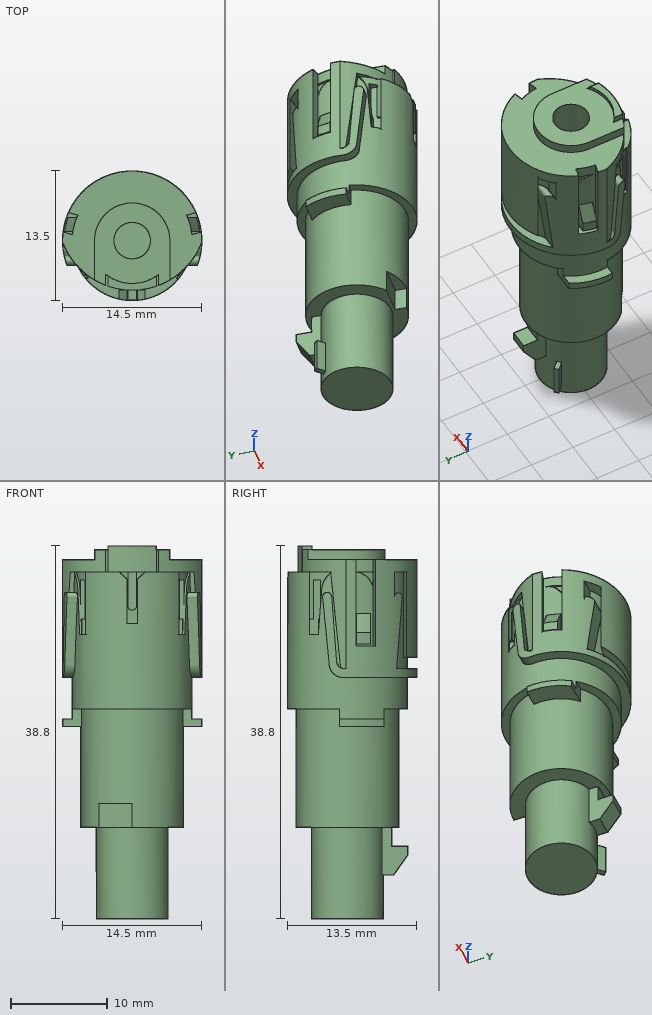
import cadquery as cq
import math

SKIRT_DIA = 14.5
BODY_DIA = 12.5
NECK_DIA = 10.7
PIN_DIA = 7.5
BORE_DIA = 3.8

TOTAL_HEIGHT = 38.8
BOSS_TOP = 38.4
CAP_TOP = 37.35
BODY_TOP = 36.07
PANEL_BOTTOM = 27.2
BAND_TOP = 26.03
BAND_BOTTOM = 25.1
BODY_BOTTOM = 21.85
NECK_BOTTOM = 9.5

CAP_FRONT = -5.15
CAP_FRONT_RADIUS = 7.75

BOSS_RADIUS = 3.9
BORE_DEPTH = 11.65
TAB_WIDTH = 5.05
TAB_GAP = 0.25
TAB_INNER_RADIUS = 4.45

BACK_PANEL_Y = 5.8
BACK_PANEL_SLANT = 11.7
BACK_SLOT_Y = 4.9
BACK_ARM_WIDTH = 0.8
BACK_ARM_TOP = 33.9
BACK_ARM_FOOT_Y = 5.12
FRONT_SLOT_TOP_Y = -1.75
FRONT_SLOT_FOOT_Y = -0.7

ARM_HEEL_START = (-0.62, BAND_BOTTOM)
ARM_HEEL_MID = (-1.47, 25.52)
ARM_HEEL_END = (-1.9, 26.57)
ARM_TIP_FRONT = (-2.55, 33.3)
ARM_TIP_PEAK = (-2.1, 33.95)
ARM_TIP_REAR = (-1.63, 33.48)
ARM_ROOT_START = (-1.12, 26.75)
ARM_ROOT_MID = (-0.9, 26.25)
ARM_ROOT_END = (-0.43, BAND_TOP)

WINDOW_ANGLE = 15.4
WINDOW_WIDTH = 2.1
WINDOW_BOTTOM = 28.35
RAMP_Y = (0.97, 2.4)
RAMP_TOP = 31.75
RAMP_EDGE = 29.75
RAMP_BOTTOM = 28.6
RAMP_RADIUS = 7.1

GROOVE_WIDTH = 1.1
GROOVE_BOTTOM = 30.72
GROOVE_FLOOR = 5.15
MOUTH_WIDTH = 2.7
MOUTH_DEPTH = 0.75
RIB_WIDTH = 0.85
RIB_BOTTOM = 32.1
RIB_RADIUS = 6.15
RIB_CHAMFER = 0.25

SIDE_GROOVE_BOTTOM = 29.55
SIDE_GROOVE_FRONT_Y = -3.9
SIDE_GROOVE_FOOT_Y = -3.03
SHALLOW_FLOOR_RADIUS = 6.05
SIDE_POCKET_X = 4.58
SIDE_POCKET_Y = (-3.53, -2.8)
SIDE_POCKET_TOP = 35.25
SIDE_FOOT_TOP = 31.2

SIDE_MOUTH_START = (-1.55, BODY_TOP)
SIDE_MOUTH_MID = (-2.3, 35.38)
SIDE_MOUTH_END = (-2.68, 34.25)
RELIEF_START = (0.95, BODY_TOP)
RELIEF_MID = (1.98, 35.6)
RELIEF_END = (2.6, 34.68)
RELIEF_REAR_Y = 2.9

LEDGE_Y = (-0.8, 3.8)
LEDGE_TOP = 20.8
LEDGE_BOTTOM = 19.98

NOTCH_FLAT_Y = -4.1
NOTCH_TOP = 12.0

HOOK_WIDTH = 2.1
HOOK_STEM_Y = 4.6
HOOK_TIP_Y = 6.3
HOOK_FOOT_Y = 4.8
HOOK_TOP = 7.55
HOOK_LIP_BOTTOM = 6.65
HOOK_BOTTOM = 4.55
KEY_BOTTOM = 0.9
KEY_ANGLE = 135.0
KEY_REACH = 4.77
KEY_THICKNESS = 0.55

BODY_RADIUS = BODY_DIA / 2
REACH = 11.65


def disc(diameter, bottom, top):
    return cq.Workplane("XY").workplane(offset=bottom).circle(diameter / 2).extrude(top - bottom)


def block(x_range, y_range, z_range):
    size = [end - start for start, end in (x_range, y_range, z_range)]
    corner = (x_range[0], y_range[0], z_range[0])
    return cq.Workplane("XY").box(*size, centered=False).translate(corner)


def across(outline):
    """Extrude a closed YZ outline through both sides of the part."""
    return outline.close().extrude(REACH, both=True)


def front_trim(bottom, top):
    """Cylinder whose front arc bounds the cap."""
    arc = disc(2 * CAP_FRONT_RADIUS, bottom, top)
    return arc.translate((0, CAP_FRONT + CAP_FRONT_RADIUS, 0))


def cap():
    """Lens-shaped cap whose rear and sides run down around the body as the skirt."""
    lens = disc(SKIRT_DIA, BAND_TOP, CAP_TOP).intersect(front_trim(BAND_TOP, CAP_TOP))
    lens = lens.cut(disc(BODY_DIA, BAND_TOP, BODY_TOP))
    front_opening = across(
        cq.Workplane("YZ")
        .moveTo(-REACH, BODY_TOP)
        .lineTo(FRONT_SLOT_TOP_Y, BODY_TOP)
        .lineTo(FRONT_SLOT_FOOT_Y, BAND_TOP)
        .lineTo(-REACH, BAND_TOP)
    )
    arm_side = BACK_SLOT_Y + BACK_ARM_WIDTH
    arm_radius = BACK_ARM_WIDTH / 2
    rear_slot = across(
        cq.Workplane("YZ")
        .moveTo(BACK_PANEL_Y, BODY_TOP)
        .lineTo(BACK_SLOT_Y, BODY_TOP)
        .lineTo(BACK_SLOT_Y, BACK_ARM_TOP - arm_radius)
        .threePointArc((BACK_SLOT_Y + arm_radius, BACK_ARM_TOP), (arm_side, BACK_ARM_TOP - arm_radius))
        .lineTo(BACK_ARM_FOOT_Y, BAND_TOP)
        .lineTo(REACH, BAND_TOP)
        .lineTo(REACH, PANEL_BOTTOM)
        .lineTo(BACK_PANEL_Y, PANEL_BOTTOM)
    )
    shape = lens.cut(front_opening).cut(rear_slot)
    panel_inner_x = math.sqrt(BODY_RADIUS**2 - BACK_PANEL_Y**2)
    panel_rise = (REACH - panel_inner_x) * math.tan(math.radians(BACK_PANEL_SLANT))
    panel_edge = (
        cq.Workplane("XY")
        .workplane(offset=PANEL_BOTTOM)
        .moveTo(panel_inner_x, BACK_PANEL_Y)
        .lineTo(REACH, BACK_PANEL_Y + panel_rise)
        .lineTo(REACH, BACK_PANEL_Y)
        .close()
        .extrude(BODY_TOP - PANEL_BOTTOM)
    )
    shape = shape.cut(panel_edge).cut(panel_edge.mirror("YZ"))
    for angle in (WINDOW_ANGLE, 180 - WINDOW_ANGLE):
        window = block((0, REACH), (-WINDOW_WIDTH / 2, WINDOW_WIDTH / 2), (WINDOW_BOTTOM, CAP_TOP))
        window = window.rotate((0, 0, 0), (0, 0, 1), angle)
        shape = shape.cut(window.cut(disc(BODY_DIA, WINDOW_BOTTOM, CAP_TOP)))
    return shape


def spring_arms():
    """Band around the skirt's foot that turns up into a round-ended arm on each side."""
    outline = across(
        cq.Workplane("YZ")
        .moveTo(REACH, BAND_BOTTOM)
        .lineTo(*ARM_HEEL_START)
        .threePointArc(ARM_HEEL_MID, ARM_HEEL_END)
        .lineTo(*ARM_TIP_FRONT)
        .threePointArc(ARM_TIP_PEAK, ARM_TIP_REAR)
        .lineTo(*ARM_ROOT_START)
        .threePointArc(ARM_ROOT_MID, ARM_ROOT_END)
        .lineTo(REACH, BAND_TOP)
    )
    return disc(SKIRT_DIA, BAND_BOTTOM, BODY_TOP).intersect(outline)


def snap_ramps():
    profile = (
        cq.Workplane("XZ")
        .moveTo(0, RAMP_TOP)
        .lineTo(BODY_RADIUS, RAMP_TOP)
        .lineTo(RAMP_RADIUS, RAMP_EDGE)
        .lineTo(RAMP_RADIUS, RAMP_BOTTOM)
        .lineTo(0, RAMP_BOTTOM)
        .close()
        .revolve(360, (0, 0), (0, 1))
    )
    return profile.intersect(block((-REACH, REACH), RAMP_Y, (RAMP_BOTTOM, RAMP_TOP)))


def front_groove():
    """Radial groove with a flared mouth and a rib standing on its floor."""
    half = GROOVE_WIDTH / 2
    mouth_start = BODY_TOP - MOUTH_DEPTH
    slot = (
        cq.Workplane("XZ", origin=(0, -GROOVE_FLOOR, 0))
        .moveTo(-half, GROOVE_BOTTOM)
        .lineTo(half, GROOVE_BOTTOM)
        .lineTo(half, mouth_start)
        .lineTo(MOUTH_WIDTH / 2, BODY_TOP)
        .lineTo(-MOUTH_WIDTH / 2, BODY_TOP)
        .lineTo(-half, mouth_start)
        .close()
        .extrude(REACH)
    )
    rib = block((-RIB_WIDTH / 2, RIB_WIDTH / 2), (-RIB_RADIUS, -GROOVE_FLOOR), (RIB_BOTTOM, BODY_TOP))
    return slot.cut(rib.faces("<Z").edges("|Y").chamfer(RIB_CHAMFER))


def side_grooves():
    """Grooves sunk from both sides, with a curved mouth at the rear."""
    shallow = across(
        cq.Workplane("YZ")
        .moveTo(SIDE_GROOVE_FRONT_Y, BODY_TOP)
        .lineTo(*SIDE_MOUTH_START)
        .threePointArc(SIDE_MOUTH_MID, SIDE_MOUTH_END)
        .lineTo(SIDE_GROOVE_FOOT_Y, SIDE_GROOVE_BOTTOM)
        .lineTo(SIDE_GROOVE_FRONT_Y, SIDE_GROOVE_BOTTOM)
    )
    grooves = shallow.cut(disc(2 * SHALLOW_FLOOR_RADIUS, SIDE_GROOVE_BOTTOM, BODY_TOP))
    foot_y = (SIDE_GROOVE_FRONT_Y, SIDE_GROOVE_FOOT_Y)
    for x_range in ((-REACH, -SIDE_POCKET_X), (SIDE_POCKET_X, REACH)):
        pocket = block(x_range, SIDE_POCKET_Y, (SIDE_FOOT_TOP, SIDE_POCKET_TOP))
        foot = block(x_range, foot_y, (SIDE_GROOVE_BOTTOM, SIDE_FOOT_TOP))
        grooves = grooves.union(pocket.union(foot).intersect(shallow))
    return grooves


def window_reliefs():
    """Curved relief at the body's top edge inside each side window."""
    outline = across(
        cq.Workplane("YZ")
        .moveTo(*RELIEF_START)
        .threePointArc(RELIEF_MID, RELIEF_END)
        .lineTo(RELIEF_REAR_Y, BODY_TOP)
    )
    return outline.cut(disc(2 * SHALLOW_FLOOR_RADIUS, SIDE_GROOVE_BOTTOM, BODY_TOP))


def body():
    shape = disc(BODY_DIA, BODY_BOTTOM, BODY_TOP)
    return shape.cut(front_groove()).cut(side_grooves()).cut(window_reliefs())


def boss():
    arch = disc(2 * BOSS_RADIUS, CAP_TOP, BOSS_TOP)
    arch = arch.union(block((-BOSS_RADIUS, BOSS_RADIUS), (-REACH, 0), (CAP_TOP, BOSS_TOP)))
    return arch.intersect(front_trim(CAP_TOP, BOSS_TOP))


def tab_sector(width, inner_radius):
    """Front strip of the given width outside the given radius, bounded by the cap's front arc."""
    strip = block((-width / 2, width / 2), (-REACH, 0), (BODY_TOP, TOTAL_HEIGHT))
    strip = strip.cut(disc(2 * inner_radius, BODY_TOP, TOTAL_HEIGHT))
    return strip.intersect(front_trim(BODY_TOP, TOTAL_HEIGHT))


def ledges():
    rim = disc(SKIRT_DIA, LEDGE_BOTTOM, LEDGE_TOP).union(disc(BODY_DIA, LEDGE_BOTTOM, BODY_BOTTOM))
    return rim.intersect(block((-REACH, REACH), LEDGE_Y, (LEDGE_BOTTOM, BODY_BOTTOM)))


def neck():
    notch = block((-REACH, 0), (-REACH, NOTCH_FLAT_Y), (NECK_BOTTOM, NOTCH_TOP))
    return disc(NECK_DIA, NECK_BOTTOM, BODY_BOTTOM).cut(notch)


def hook():
    return (
        cq.Workplane("YZ")
        .moveTo(0, NECK_BOTTOM)
        .lineTo(HOOK_STEM_Y, NECK_BOTTOM)
        .lineTo(HOOK_STEM_Y, HOOK_TOP)
        .lineTo(HOOK_TIP_Y, HOOK_TOP)
        .lineTo(HOOK_TIP_Y, HOOK_LIP_BOTTOM)
        .lineTo(HOOK_FOOT_Y, HOOK_BOTTOM)
        .lineTo(0, HOOK_BOTTOM)
        .close()
        .extrude(HOOK_WIDTH / 2, both=True)
    )


def key():
    bar = block((0, KEY_REACH), (-KEY_THICKNESS, 0), (KEY_BOTTOM, HOOK_BOTTOM))
    return bar.rotate((0, 0, 0), (0, 0, 1), KEY_ANGLE)


result = body().union(cap()).union(spring_arms()).union(snap_ramps()).union(boss())
result = result.cut(tab_sector(TAB_WIDTH + 2 * TAB_GAP, TAB_INNER_RADIUS))
result = result.union(tab_sector(TAB_WIDTH, TAB_INNER_RADIUS))
result = result.union(ledges()).union(neck()).union(disc(PIN_DIA, 0, NECK_BOTTOM))
result = result.union(hook()).union(key())
result = result.cut(disc(BORE_DIA, BOSS_TOP - BORE_DEPTH, BOSS_TOP))